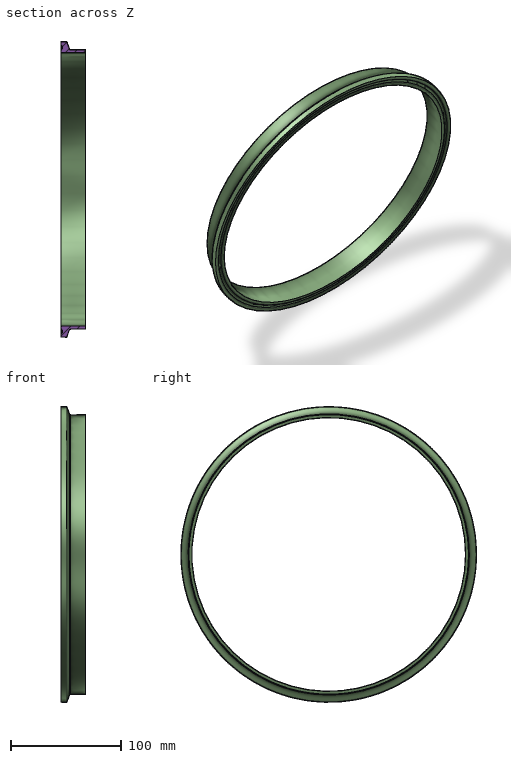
import cadquery as cq
import math

flange_diameter = 268.5
tube_diameter = 254.0
bore_diameter = 248.3
ring_length = 22.3

rim_width = 5.5
taper_angle = 20.0
rim_rounding = 0.8
root_rounding = 1.0

groove_diameter = 258.0
groove_width = 3.2
groove_depth = 1.3
groove_lip_rounding = 1.0

flange_radius = flange_diameter / 2
tube_radius = tube_diameter / 2
bore_radius = bore_diameter / 2
groove_radius = groove_diameter / 2
groove_inner_radius = groove_radius - groove_width / 2
groove_outer_radius = groove_radius + groove_width / 2

taper_length = (flange_radius - tube_radius) * math.tan(math.radians(taper_angle))
taper_end = rim_width + taper_length


def revolve_about_x(profile):
    return profile.revolve(360, (0, 0, 0), (1, 0, 0))


def circle_at(x, radius):
    """Select the circular edge of the given radius at a given X position."""
    margin = 0.13
    inner = radius - margin
    outer = radius + margin
    largest = cq.selectors.BoxSelector(
        (x - margin, -outer, -outer), (x + margin, outer, outer), boundingbox=True
    )
    smaller = cq.selectors.BoxSelector(
        (x - margin, -inner, -inner), (x + margin, inner, inner), boundingbox=True
    )
    return largest - smaller


def make_ferrule():
    profile = (
        cq.Workplane("XY")
        .moveTo(0, bore_radius)
        .lineTo(0, flange_radius)
        .lineTo(rim_width, flange_radius)
        .lineTo(taper_end, tube_radius)
        .lineTo(ring_length, tube_radius)
        .lineTo(ring_length, bore_radius)
        .close()
    )
    ring = revolve_about_x(profile)
    ring = ring.edges(circle_at(rim_width, flange_radius)).fillet(rim_rounding)
    return ring.edges(circle_at(taper_end, tube_radius)).fillet(root_rounding)


def make_groove_cutter():
    """Ring with a circular-arc cross-section that is as deep as the groove."""
    profile = (
        cq.Workplane("XY")
        .moveTo(0, groove_inner_radius)
        .threePointArc((groove_depth, groove_radius), (0, groove_outer_radius))
        .close()
    )
    return revolve_about_x(profile)


result = make_ferrule().cut(make_groove_cutter())

for lip_radius in (groove_inner_radius, groove_outer_radius):
    result = result.edges(circle_at(0, lip_radius)).fillet(groove_lip_rounding)